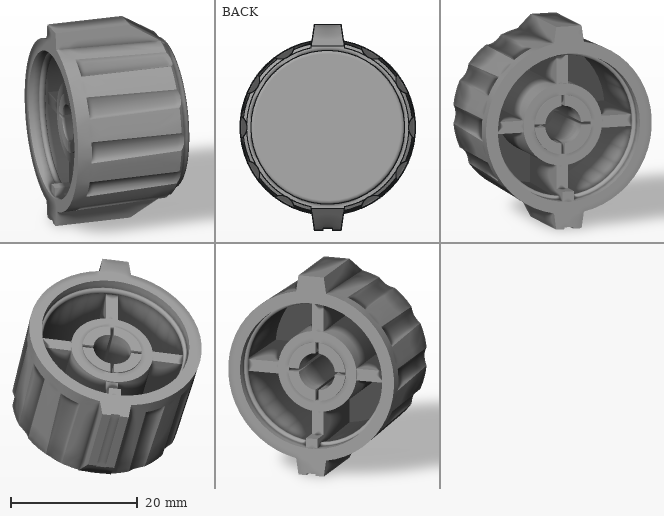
import cadquery as cq
import math


total_height = 32.5
total_depth = 19.1
tip_z = total_height / 2

cap_diameter = 24.25
cap_thickness = 1.25
cap_edge_radius = 0.55

front_radius = 13.85
back_radius = 13.4
rim_chamfer_depth = 0.6
rim_radius = 12.8
back_y = total_depth - cap_thickness
chamfer_y = back_y - rim_chamfer_depth

flute_pitch = 30
flute_start_y = 2.28
fin_angles = (90, 270)
flute_angles = [a for a in range(0, 360, flute_pitch) if a not in fin_angles]
flute_radius = 2.18
flute_bottom_radius = 12.75
flute_axis_radius = flute_bottom_radius + flute_radius

fin_tip_width = 4.22
fin_side_angle = 8.3
fin_flat_depth = 12.35
marker_width = 1.5
marker_depth = 0.3

mouth_radius = 11.85
floor_radius = 11.45
floor_y = 15.85
bead_y = 2.2
bead_center_radius = 11.8
bead_radius = 0.52

hub_diameter = 13.13
hub_y = 3.0
collet_diameter = 9.5
collet_y = 2.75
bore_diameter = 6.0
slot_width = 0.52
rib_width = 1.92
rib_y = 3.2
stop_y = 0.3
stop_inner_radius = 10.3


def cylinder_along_y(diameter, start_y, end_y):
    """Round bar on the Y axis from start_y to end_y."""
    bar = cq.Workplane("XZ", origin=(0, start_y, 0)).circle(diameter / 2)
    return bar.extrude(start_y - end_y)


def box_between(x_range, y_range, z_range):
    """Box given by its lower and upper limits along each axis."""
    low, high = zip(x_range, y_range, z_range)
    lengths = [b - a for a, b in zip(low, high)]
    return cq.Workplane("XY").box(*lengths, centered=False).translate(low)


def turned(profile):
    """Solid of revolution about Y from (radius, y) points."""
    return cq.Workplane("XY").polyline(profile).close().revolve(360, (0, 0, 0), (0, 1, 0))


def make_shell_blank():
    """Drafted drum with a chamfered back rim."""
    return turned([
        (0, 0),
        (front_radius, 0),
        (back_radius, chamfer_y),
        (rim_radius, back_y),
        (0, back_y),
    ])


def make_flutes():
    """Round-bottomed grip grooves, left out where the fins stand."""
    flutes = cq.Workplane("XZ", origin=(0, flute_start_y, 0))
    centers = [
        (flute_axis_radius * math.cos(math.radians(a)), flute_axis_radius * math.sin(math.radians(a)))
        for a in flute_angles
    ]
    return flutes.pushPoints(centers).circle(flute_radius).extrude(flute_start_y - total_depth)


def make_fin():
    """Upper fin, tapered in width towards its tip."""
    root_z = mouth_radius
    tip_half = fin_tip_width / 2
    root_half = tip_half + (tip_z - root_z) * math.tan(math.radians(fin_side_angle))
    section = [(-root_half, root_z), (root_half, root_z), (tip_half, tip_z), (-tip_half, tip_z)]
    return cq.Workplane("XZ").polyline(section).close().extrude(-back_y)


def make_slope_limit():
    """Side outline whose sloping corners trim the fins and the drum under them down to the rim."""
    outline = [
        (0, -tip_z),
        (0, tip_z),
        (fin_flat_depth, tip_z),
        (back_y, rim_radius),
        (back_y, -rim_radius),
        (fin_flat_depth, -tip_z),
    ]
    return cq.Workplane("YZ").polyline(outline).close().extrude(front_radius, both=True)


def make_cavity():
    """Drafted cavity open to the front."""
    return turned([(0, 0), (mouth_radius, 0), (floor_radius, floor_y), (0, floor_y)])


def make_bead():
    """Half-round bead standing inward from the cavity wall."""
    section = cq.Workplane("XY").moveTo(bead_center_radius, bead_y).circle(bead_radius)
    return section.revolve(360, (0, 0, 0), (0, 1, 0))


def make_ribs():
    """Crossed ribs from the hub to the wall, with a raised stop on the lower one."""
    half = rib_width / 2
    across = (-half, half)
    along = (-mouth_radius, mouth_radius)
    depth = (rib_y, floor_y)
    ribs = box_between(along, depth, across).union(box_between(across, depth, along))
    stop = box_between(across, (stop_y, floor_y), (-mouth_radius, -stop_inner_radius))
    return ribs.union(stop)


def make_bore_and_slots():
    """Shaft bore with four slots that split the collet into quarters."""
    half = slot_width / 2
    across = (-half, half)
    along = (-collet_diameter / 2, collet_diameter / 2)
    depth = (collet_y, floor_y)
    slots = box_between(along, depth, across).union(box_between(across, depth, along))
    slots = slots.intersect(cylinder_along_y(collet_diameter, collet_y, floor_y))
    return slots.union(cylinder_along_y(bore_diameter, collet_y, floor_y))


def make_knob():
    """Fluted, finned knob with its hub and collet."""
    drum = make_shell_blank().cut(make_flutes())
    fin = make_fin()
    outside = drum.union(fin).union(fin.mirror("XY")).intersect(make_slope_limit())
    marker = box_between(
        (-marker_width / 2, marker_width / 2),
        (0, back_y),
        (-tip_z, -tip_z + marker_depth),
    )
    shell = outside.cut(marker).cut(make_cavity()).union(make_bead())
    inside = make_ribs().intersect(outside)
    inside = inside.union(cylinder_along_y(hub_diameter, hub_y, floor_y))
    inside = inside.union(cylinder_along_y(collet_diameter, collet_y, floor_y))
    return shell.union(inside).cut(make_bore_and_slots())


def make_cap():
    """Round cap lying on the back of the knob, rounded at its outer edge."""
    return cylinder_along_y(cap_diameter, back_y, total_depth).faces(">Y").edges().fillet(cap_edge_radius)


knob = make_knob()
cap = make_cap()

result = cq.Compound.makeCompound([knob.val(), cap.val()])